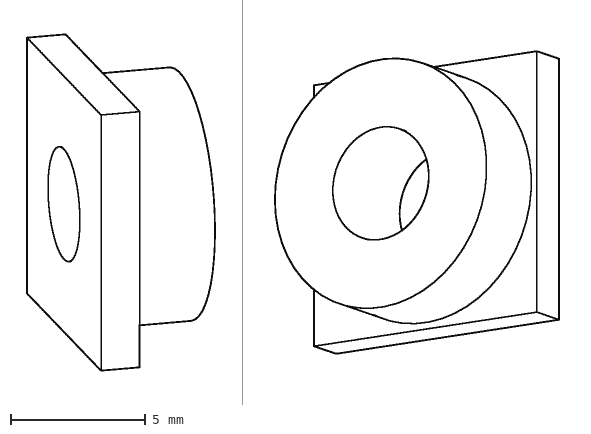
import cadquery as cq

plate_side = 10
plate_thickness = 1.5
total_depth = 4.5
boss_diameter = 9.5
bore_diameter = 4.3

boss_length = total_depth - plate_thickness

plate = cq.Workplane("XZ").rect(plate_side, plate_side).extrude(-plate_thickness)

boss = (
    cq.Workplane("XZ", origin=(0, plate_thickness, 0))
    .circle(boss_diameter / 2)
    .extrude(-boss_length)
)

bore = cq.Workplane("XZ").circle(bore_diameter / 2).extrude(-total_depth)

result = plate.union(boss).cut(bore)